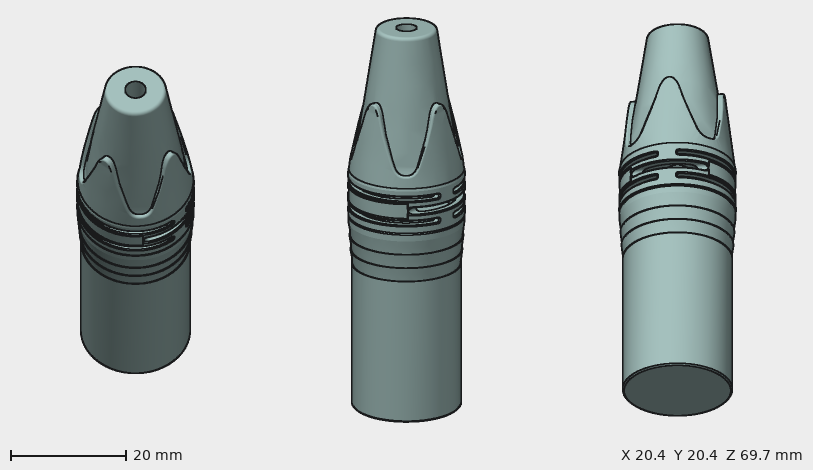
import math

import cadquery as cq

total_height = 69.65
ring_bottom = 35.3
boot_bottom = 43.5

tolerance = 0.01

barrel_radius = 9.55
barrel_top = 26.1
barrel_chamfer = 0.3
collar_radius = 10.1
collar_bottom = 33.8
collar_chamfer = 0.35
step_count = 3
step_height = (collar_bottom - barrel_top) / step_count
step_drop = 0.175
step_taper = 0.35

ring_radius = 10.2
ring_bore_radius = 8.85
ring_bevel_height = 0.5
slot_middle = 39.35
slot_spacing = 2.2
slot_bevel = 0.2
cross_slot_height = 0.8
cross_slot_end = 1.75
side_slot_height = 1.25
side_slot_end = 7.4
label_width = 2 * side_slot_end
label_height = 2.65
label_depth = 0.105

cable_hole_radius = 1.8
sleeve_tip_radius = 5.3
sleeve_base_radius = 9.3
tip_fillet = 0.7
crown_base_radius = 10.0
crown_top_radius = 8.3
crown_top = 57.6
crown_fillet = 0.35
peak_count = 4
valley_bottom = 45.55
valley_headroom = 0.7
valley_flank_low = (0.3, 47.9)
valley_flank_middle = (0.52, 53.7)
valley_flank_high = (0.62, 56.55)


def revolve_profile(points):
    """Turn a closed (radius, z) outline around the Z axis."""
    return cq.Workplane("XZ").polyline(points).close().revolve(360, (0, 0, 0), (0, 1, 0))


def make_housing():
    """Solid barrel with a stepped neck that widens to a collar under the ring."""
    points = [
        (0, 0),
        (barrel_radius - barrel_chamfer, 0),
        (barrel_radius, barrel_chamfer),
        (barrel_radius, barrel_top),
    ]
    for step in range(step_count):
        bottom = barrel_top + step * step_height
        top_radius = collar_radius - (step_count - 1 - step) * step_drop
        points.append((top_radius - step_taper, bottom))
        points.append((top_radius, bottom + step_height))
    points += [
        (collar_radius, ring_bottom - collar_chamfer),
        (collar_radius - collar_chamfer, ring_bottom),
        (0, ring_bottom),
    ]
    return revolve_profile(points)


def slot_cutter(plane, z, height, end, side):
    """Round-ended slot through the whole ring, reaching outward from `end` on one side."""
    length = 2 * ring_radius
    center = side * (end + length / 2)
    return (
        cq.Workplane(plane)
        .center(center, z)
        .slot2D(length, height)
        .extrude(length, both=True)
    )


def make_ring():
    """Open ring with long slots front and back, slots at the sides and label panels."""
    ring = revolve_profile(
        [
            (ring_bore_radius, ring_bottom),
            (ring_radius, ring_bottom),
            (ring_radius, boot_bottom - ring_bevel_height),
            (crown_base_radius, boot_bottom),
            (ring_bore_radius, boot_bottom),
        ]
    )
    for side in (-1, 1):
        for z in (slot_middle - slot_spacing, slot_middle + slot_spacing):
            ring = ring.cut(slot_cutter("YZ", z, cross_slot_height, cross_slot_end, side))
        ring = ring.cut(slot_cutter("XZ", slot_middle, side_slot_height, side_slot_end, side))
    slot_rims = [edge for edge in ring.edges().vals() if is_slot_rim(edge)]
    return ring.newObject(slot_rims).chamfer(slot_bevel).cut(label_recesses())


def is_slot_rim(edge):
    """True for the edges of the slots on the outside of the ring."""
    middle = edge.positionAt(0.5)
    on_outside = abs(math.hypot(middle.x, middle.y) - ring_radius) < tolerance
    return on_outside and abs(middle.z - slot_middle) < slot_spacing + cross_slot_height


def label_recesses():
    """Shallow panels on the front and back of the band between the long slots."""
    band = cq.Workplane("XY").box(label_width, 3 * ring_radius, label_height)
    core = cq.Workplane("XY").circle(ring_radius - label_depth).extrude(label_height, both=True)
    return band.cut(core).translate((0, 0, slot_middle))


def valley_outline(distance):
    """Outline of one valley in the vertical plane at this distance from the axis."""
    ratios_and_heights = [
        (0, valley_bottom),
        valley_flank_low,
        valley_flank_middle,
        valley_flank_high,
        (1, crown_top),
    ]
    right = [cq.Vector(ratio * distance, distance, z) for ratio, z in ratios_and_heights]
    left = [cq.Vector(-point.x, point.y, point.z) for point in right]
    right_flank = cq.Edge.makeSpline(right, tangents=[cq.Vector(1, 0, 0), cq.Vector(1, 0, 0)])
    left_flank = cq.Edge.makeSpline(left, tangents=[cq.Vector(-1, 0, 0), cq.Vector(-1, 0, 0)])
    rise = cq.Vector(0, 0, valley_headroom)
    lid = cq.Wire.makePolygon([right[-1], right[-1] + rise, left[-1] + rise, left[-1]])
    return cq.Wire.assembleEdges([right_flank, *lid.Edges(), left_flank])


def make_crown():
    """Cone cut by four valleys on the diagonals, which leave four rounded peaks."""
    crown = revolve_profile(
        [
            (0, boot_bottom),
            (crown_base_radius, boot_bottom),
            (crown_top_radius, crown_top),
            (0, crown_top),
        ]
    )
    inner_outline = valley_outline(crown_top_radius / 3)
    outer_outline = valley_outline(2 * crown_base_radius)
    valley = cq.Workplane(cq.Solid.makeLoft([inner_outline, outer_outline], True))
    for index in range(peak_count):
        angle = (index + 0.5) * 360 / peak_count
        crown = crown.cut(valley.rotate((0, 0, 0), (0, 0, 1), angle))
    return crown


def make_boot():
    """Tapered sleeve with the crown around its base and a hole for the cable."""
    sleeve = revolve_profile(
        [
            (0, boot_bottom),
            (sleeve_base_radius, boot_bottom),
            (sleeve_tip_radius, total_height),
            (0, total_height),
        ]
    )
    sleeve = sleeve.faces(">Z").edges().fillet(tip_fillet)
    hole = cq.Workplane("XY").circle(cable_hole_radius).extrude(total_height)
    boot = sleeve.union(make_crown()).cut(hole)
    crown_rim = [edge for edge in boot.edges().vals() if is_crown_rim(edge)]
    return boot.newObject(crown_rim).fillet(crown_fillet)


def is_crown_rim(edge):
    """True for the valley edges that lie on the outside of the crown."""
    middle = edge.positionAt(0.5)
    up = (middle.z - boot_bottom) / (crown_top - boot_bottom)
    crown_radius = crown_base_radius + up * (crown_top_radius - crown_base_radius)
    on_outside = abs(math.hypot(middle.x, middle.y) - crown_radius) < tolerance
    return on_outside and middle.z > valley_bottom


housing = make_housing()
ring = make_ring()
boot = make_boot()

result = cq.Compound.makeCompound([body.solids().val() for body in (housing, ring, boot)])